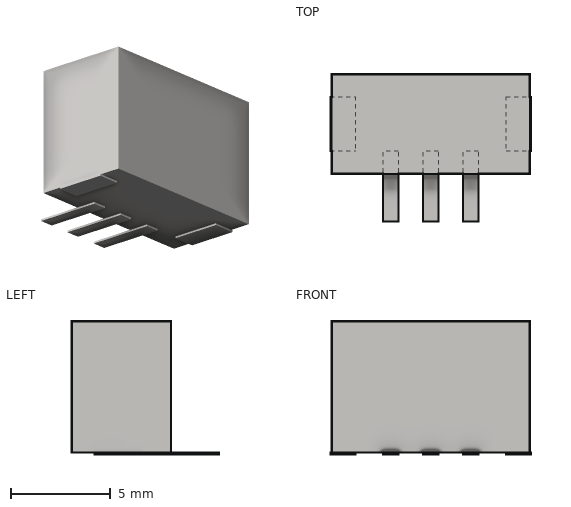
import cadquery as cq

overall_length = 10.08
overall_depth = 7.4
overall_height = 6.7

housing_length = 9.94
housing_depth = 5.0

sheet_thickness = 0.1

lead_width = 0.8
lead_pitch = 2.01
lead_count = 3

pad_length = 1.27
pad_depth = 2.7

housing_height = overall_height - sheet_thickness
lead_tip_y = housing_depth / 2 - overall_depth
lead_inner_y = -pad_depth / 2
pad_center_x = (overall_length - pad_length) / 2


def make_housing():
    """Plain rectangular block standing on the leads and pads."""
    return cq.Workplane("XY").box(
        housing_length, housing_depth, housing_height, centered=(True, True, False)
    )


def make_lead(center_x):
    """Flat strip under the housing, projecting beyond its front face."""
    lead_length = lead_inner_y - lead_tip_y
    return (
        cq.Workplane("XY")
        .box(lead_width, lead_length, sheet_thickness, centered=(True, False, False))
        .translate((center_x, lead_tip_y, -sheet_thickness))
    )


def make_end_pad(center_x):
    """Flat rectangular pad under one end of the housing, just proud of the end face."""
    return (
        cq.Workplane("XY")
        .box(pad_length, pad_depth, sheet_thickness, centered=(True, True, False))
        .translate((center_x, 0, -sheet_thickness))
    )


housing = make_housing()
leads = [make_lead((i - (lead_count - 1) / 2) * lead_pitch) for i in range(lead_count)]
end_pads = [make_end_pad(side * pad_center_x) for side in (-1, 1)]

result = cq.Compound.makeCompound([body.val() for body in [housing, *leads, *end_pads]])